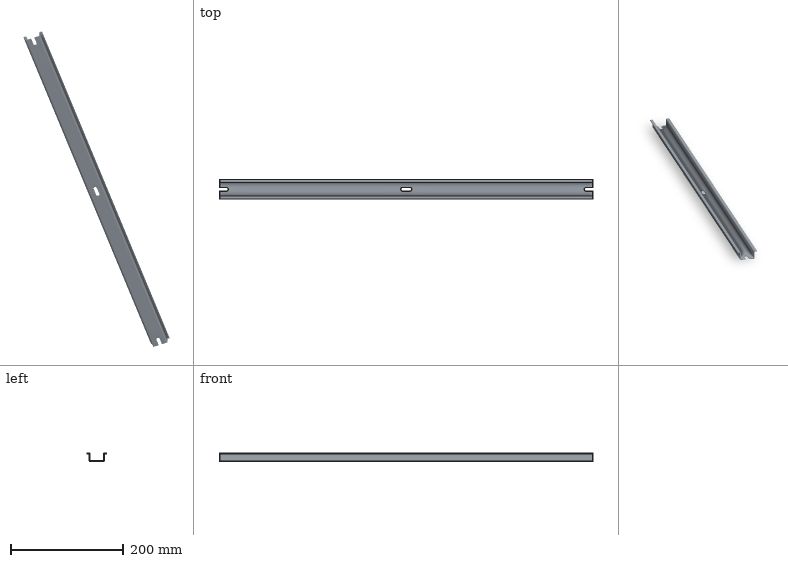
import cadquery as cq

length = 666.0
overall_width = 35.0
height = 15.0
sheet_thickness = 1.5

channel_width = 27.0
floor_inner_radius = 0.5
floor_outer_radius = floor_inner_radius + sheet_thickness
flange_inner_radius = 0.8
flange_outer_radius = 1.8

slot_length = 19.0
slot_width = 6.2
end_slot_depth = 15.0


def half_rail():
    """The +Y half of the bent sheet, extruded over the full length along X."""
    flange_edge = overall_width / 2
    wall_outside = channel_width / 2
    wall_inside = wall_outside - sheet_thickness
    flange_underside = height - sheet_thickness
    return (
        cq.Workplane("YZ", origin=(-length / 2, 0, 0))
        .lineTo(wall_outside - floor_outer_radius, 0)
        .radiusArc((wall_outside, floor_outer_radius), -floor_outer_radius)
        .lineTo(wall_outside, flange_underside - flange_inner_radius)
        .radiusArc((wall_outside + flange_inner_radius, flange_underside), flange_inner_radius)
        .lineTo(flange_edge, flange_underside)
        .lineTo(flange_edge, height)
        .lineTo(wall_inside + flange_outer_radius, height)
        .radiusArc((wall_inside, height - flange_outer_radius), -flange_outer_radius)
        .lineTo(wall_inside, sheet_thickness + floor_inner_radius)
        .radiusArc((wall_inside - floor_inner_radius, sheet_thickness), floor_inner_radius)
        .lineTo(0, sheet_thickness)
        .close()
        .extrude(length)
    )


def rail_body():
    """Both halves of the hat section joined on the middle plane."""
    half = half_rail()
    return half.union(half.mirror("XZ")).clean()


def slot_cutters():
    """Round-ended slots: one at mid-length and one open at each rail end."""
    end_slot_center = length / 2 - end_slot_depth + slot_length / 2
    return (
        cq.Workplane("XY")
        .pushPoints([(-end_slot_center, 0), (0, 0), (end_slot_center, 0)])
        .slot2D(slot_length, slot_width)
        .extrude(sheet_thickness)
    )


result = rail_body().cut(slot_cutters())